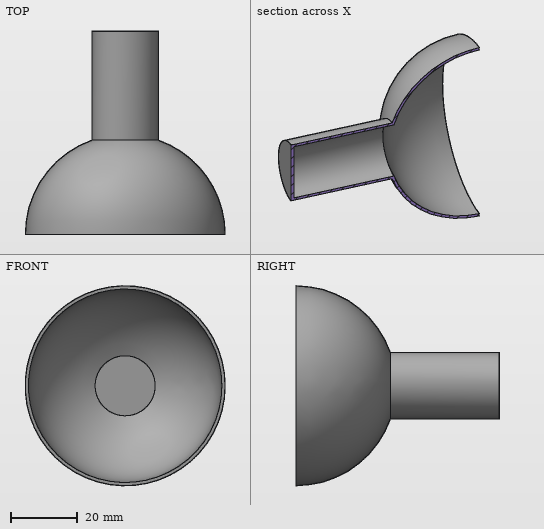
import cadquery as cq

bowl_radius = 30.0
wall = 1.0
stem_radius = 10.0
total_length = 61.0

cavity_radius = bowl_radius - wall
bore_radius = stem_radius - wall
bore_depth = total_length - wall


def dome(radius):
    """Half ball with its flat face on the rim plane Y = 0, bulging toward +Y."""
    quarter_disc = (
        cq.Workplane("XY")
        .lineTo(radius, 0)
        .radiusArc((0, radius), -radius)
        .close()
    )
    return quarter_disc.revolve(360, (0, 0, 0), (0, 1, 0))


def rod(radius, length):
    """Cylinder along +Y, starting on the rim plane."""
    return cq.Workplane("XZ").circle(radius).extrude(-length)


body = dome(bowl_radius).union(rod(stem_radius, total_length))

cavity = dome(cavity_radius).union(rod(bore_radius, bore_depth))

result = body.cut(cavity)